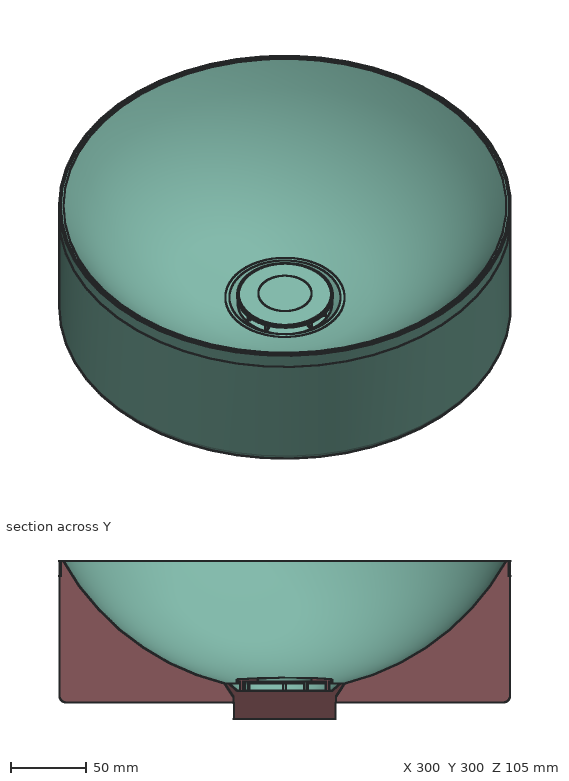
import cadquery as cq
import math

OUTER_RADIUS = 150.0
TOTAL_HEIGHT = 105.0

BASIN_BOTTOM = 10.8
BASIN_EDGE_FILLET = 5.0
BOWL_MOUTH_RADIUS = 147.0
BOWL_SPHERE_RADIUS = 168.5

RIM_HEIGHT = 10.0
RIM_INNER_RADIUS = 148.8
RIM_BOTTOM = TOTAL_HEIGHT - RIM_HEIGHT

TAIL_RADIUS = 34.0
FLANGE_RADIUS = 39.5
FLANGE_WIDTH = 2.7
CUP_FLOOR_RADIUS = 31.5
CUP_FLOOR = 19.0
FLARE_BOTTOM = 15.0

CAP_RADIUS = 31.8
CAP_SKIRT_BOTTOM = 25.0
CAP_SKIRT_HEIGHT = 1.8
CAP_CHAMFER = 1.0
CAP_RISE = 1.2
CAP_THICKNESS = 0.3

CARRIER_RADIUS = 30.5
CARRIER_HOLE_RADIUS = 17.7
LEG_CENTER_RADIUS = 28.5
LEG_THICKNESS = 1.8
LEG_DEPTH = 2.5
LEG_PAIRS = 4
LEGS_PER_PAIR = 2
LEG_PAIR_SPREAD = 30.0
FIRST_LEG_ANGLE = 60.0


def sphere_depth(sphere_radius, radius):
    """Height of a sphere's centre above the circle of the given radius on its lower half."""
    return math.sqrt(sphere_radius**2 - radius**2)


BOWL_CENTER = TOTAL_HEIGHT + sphere_depth(BOWL_SPHERE_RADIUS, BOWL_MOUTH_RADIUS)
FLANGE_TOP = BOWL_CENTER - sphere_depth(BOWL_SPHERE_RADIUS, FLANGE_RADIUS)

CAP_SHOULDER = CAP_SKIRT_BOTTOM + CAP_SKIRT_HEIGHT
DOME_RADIUS = CAP_RADIUS - CAP_CHAMFER
CAP_SPHERE_RADIUS = (DOME_RADIUS**2 + CAP_RISE**2) / (2 * CAP_RISE)
CAP_TOP = CAP_SHOULDER + CAP_RISE
CAP_CENTER = CAP_TOP - CAP_SPHERE_RADIUS
CAP_INNER_SPHERE_RADIUS = CAP_SPHERE_RADIUS - CAP_THICKNESS


def cylinder(radius, bottom, top):
    return cq.Workplane("XY").workplane(offset=bottom).circle(radius).extrude(top - bottom)


def sphere(radius, center_height):
    return cq.Workplane("XY").sphere(radius).translate((0, 0, center_height))


def drain_envelope():
    """Outside of the drain: tailpiece and flare, with no cup."""
    profile = [
        (0, 0),
        (TAIL_RADIUS, 0),
        (TAIL_RADIUS, FLARE_BOTTOM),
        (FLANGE_RADIUS, FLANGE_TOP),
        (0, FLANGE_TOP),
    ]
    return cq.Workplane("XZ").polyline(profile).close().revolve(360, (0, 0, 0), (0, 1, 0))


def make_basin():
    drum = cylinder(OUTER_RADIUS, BASIN_BOTTOM, RIM_BOTTOM)
    drum = drum.faces("<Z").edges().fillet(BASIN_EDGE_FILLET)
    lip = cylinder(RIM_INNER_RADIUS, RIM_BOTTOM, TOTAL_HEIGHT)
    bowl = sphere(BOWL_SPHERE_RADIUS, BOWL_CENTER)
    return drum.union(lip).cut(bowl).cut(drain_envelope())


def make_rim_ring():
    ring = cylinder(OUTER_RADIUS, RIM_BOTTOM, TOTAL_HEIGHT)
    return ring.cut(cylinder(RIM_INNER_RADIUS, RIM_BOTTOM, TOTAL_HEIGHT))


def make_drain():
    cup_profile = [
        (0, CUP_FLOOR),
        (CUP_FLOOR_RADIUS, CUP_FLOOR),
        (FLANGE_RADIUS - FLANGE_WIDTH, FLANGE_TOP),
        (0, FLANGE_TOP),
    ]
    cup = cq.Workplane("XZ").polyline(cup_profile).close().revolve(360, (0, 0, 0), (0, 1, 0))
    return drain_envelope().cut(cup)


def under_cap(blank):
    """Trim a blank to the dome that forms the underside of the cap."""
    return blank.intersect(sphere(CAP_INNER_SPHERE_RADIUS, CAP_CENTER))


def make_cap():
    disc = cylinder(CAP_RADIUS, CAP_SKIRT_BOTTOM, CAP_SHOULDER).faces(">Z").chamfer(CAP_CHAMFER)
    crown = cylinder(DOME_RADIUS, CAP_SHOULDER, CAP_TOP)
    dome = disc.union(crown).intersect(sphere(CAP_SPHERE_RADIUS, CAP_CENTER))
    hollow = under_cap(cylinder(CARRIER_RADIUS, CAP_SKIRT_BOTTOM, CAP_TOP))
    return dome.cut(hollow)


def make_carrier():
    carrier = under_cap(cylinder(CARRIER_RADIUS, CAP_SKIRT_BOTTOM, CAP_TOP))
    carrier = carrier.cut(cylinder(CARRIER_HOLE_RADIUS, CAP_SKIRT_BOTTOM, CAP_TOP))
    leg_height = CAP_SKIRT_BOTTOM - CUP_FLOOR
    leg = cq.Workplane("XY").box(LEG_DEPTH, LEG_THICKNESS, leg_height, centered=(True, True, False))
    leg = leg.translate((LEG_CENTER_RADIUS, 0, CUP_FLOOR))
    for pair in range(LEG_PAIRS):
        for side in range(LEGS_PER_PAIR):
            angle = FIRST_LEG_ANGLE + pair * 360 / LEG_PAIRS + side * LEG_PAIR_SPREAD
            carrier = carrier.union(leg.rotate((0, 0, 0), (0, 0, 1), angle))
    return carrier


basin = make_basin()
rim_ring = make_rim_ring()
drain = make_drain()
cap = make_cap()
carrier = make_carrier()

result = cq.Compound.makeCompound(
    [basin.val(), rim_ring.val(), drain.val(), cap.val(), carrier.val()]
)